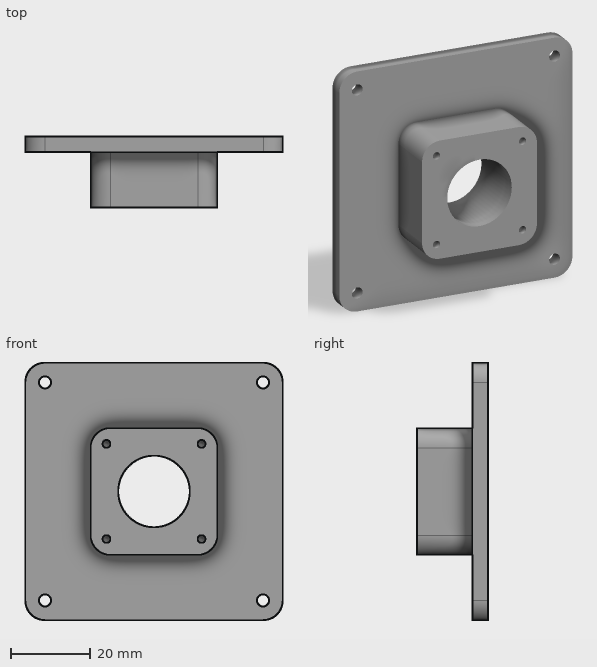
import cadquery as cq
import math

plate_side = 65.0
plate_thickness = 4.0
plate_hole_spacing = 55.0
plate_hole_diameter = 3.0

boss_side = 32.0
boss_height = 14.0
boss_hole_spacing = 24.0
boss_hole_diameter = 2.0
boss_hole_depth = 10.0
drill_point_angle = 118.0

corner_radius = 5.0
bore_diameter = 18.0

total_depth = plate_thickness + boss_height


def rounded_square_block(side, depth):
    """Square block with rounded corners, from Y = 0 towards -Y."""
    block = cq.Workplane("XZ").rect(side, side).extrude(depth)
    return block.edges("|Y").fillet(corner_radius)


def corner_points(spacing):
    """(X, Z) corners of a centred square."""
    half = spacing / 2
    return [(x, z) for x in (-half, half) for z in (-half, half)]


def drilled_hole(x, z):
    """Blind hole with a conical bottom, entering the end face of the boss."""
    radius = boss_hole_diameter / 2
    point_length = radius / math.tan(math.radians(drill_point_angle / 2))
    entry_y = -total_depth
    shoulder_y = entry_y + boss_hole_depth
    tip_y = shoulder_y + point_length
    profile = (
        cq.Workplane("XY")
        .moveTo(0, entry_y)
        .lineTo(radius, entry_y)
        .lineTo(radius, shoulder_y)
        .lineTo(0, tip_y)
        .close()
    )
    hole = profile.revolve(360, (0, 0, 0), (0, 1, 0))
    return hole.translate((x, 0, z))


plate = rounded_square_block(plate_side, plate_thickness)
boss = rounded_square_block(boss_side, total_depth)
body = plate.union(boss)

bore = cq.Workplane("XZ").circle(bore_diameter / 2).extrude(total_depth)
body = body.cut(bore)

plate_holes = (
    cq.Workplane("XZ")
    .pushPoints(corner_points(plate_hole_spacing))
    .circle(plate_hole_diameter / 2)
    .extrude(plate_thickness)
)
body = body.cut(plate_holes)

for hole_x, hole_z in corner_points(boss_hole_spacing):
    body = body.cut(drilled_hole(hole_x, hole_z))

result = body